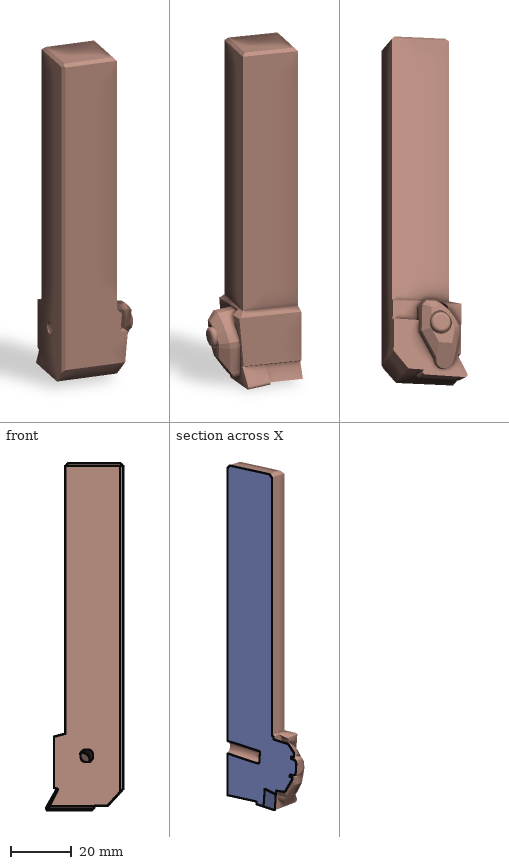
import cadquery as cq
import math


LENGTH = 114.3
SHANK = 19.1
EDGE_CHAMFER = 1.0

HEAD_LEFT = -3.8
HEAD_STEP_Z = 7.5
RELIEF_TOP_X = -2.4
RELIEF_TOP_Z = 7.0
RELIEF_BOTTOM_X = -5.1
HEAD_BOTTOM_Z = 1.6
HEAD_TOP_Z = 25.4
SHOULDER_DROP = 1.0
HEEL_WIDTH = 5.1
HEEL_HEIGHT = 5.6
HEAD_STOCK_DEPTH = 27.4
REAR_TOP_ANGLE = 28.0

SEAT_TILT = 5.0
SEAT_Y = 19.8
SEAT_SLOPE = math.tan(math.radians(SEAT_TILT))
INTO_HEAD = cq.Vector(SEAT_SLOPE, -1, SEAT_SLOPE)
OUT_OF_HEAD = INTO_HEAD * -1

INSERT_SIDE = 16.5
INSERT_CORNER_X = -6.9
NOSE_RADIUS = 0.8
INSERT_THICKNESS = 4.8
SHIM_THICKNESS = 3.2

CLAMP_LEFT = -2.1
CLAMP_RIGHT = 10.9
CLAMP_TOP_Z = 24.1
CLAMP_HEIGHT = 6.4
CLAMP_WALL_HEIGHT = 3.7
CROWN_TAPER = 42.0
TAIL_LEFT = 6.1
TAIL_RIGHT = 9.4
TAIL_CORNER_Z = 22.6
SHOULDER_X = 1.0
SHOULDER_Z = 20.6
SIDE_TOP_Z = 16.0
SIDE_BOTTOM_Z = 14.0
NOSE_X = 2.5
NOSE_Z = 5.1
NOSE_HALF_WIDTH = 3.0
NOSE_HEIGHT = 1.6
SLOPE_TOP_Z = 10.1

RECESS_DEPTH = 2.6
RECESS_LEFT = 1.0
RECESS_BOTTOM_Z = 18.0
RECESS_CORNER_Z = 23.2
RECESS_TOP_X = 5.0
RECESS_TOP_Z = 26.3

SCREW_X = 5.3
SCREW_Z = 16.7
SCREW_HEAD_RADIUS = 3.3
SCREW_HEAD_RISE = 1.3
SCREW_HEAD_FILLET = 1.0
SCREW_GROOVE_RADIUS = 3.9
SCREW_GROOVE_DEPTH = 1.1

HOLE_X = 7.1
HOLE_Z = 18.1
HOLE_DIAMETER = 4.2
HOLE_DEPTH = 13.7


def tilted_plane(x, y, z):
    """Plane parallel to the seat; local X and Y follow X and Z, local Z points into the head."""
    return cq.Plane(origin=(x, y, z), xDir=(1, SEAT_SLOPE, 0), normal=INTO_HEAD)


def seat(depth=0.0):
    """Workplane at the given depth below the seat plane (negative is above it)."""
    return cq.Workplane(tilted_plane(0, SEAT_Y, 0)).workplane(offset=depth)


def insert_prism(depth, thickness):
    """Equilateral triangle with rounded noses, starting at a depth below the seat."""
    apex = (INSERT_CORNER_X + INSERT_SIDE / 2, INSERT_SIDE * math.sqrt(3) / 2)
    outline = [(INSERT_CORNER_X, 0), (INSERT_CORNER_X + INSERT_SIDE, 0), apex]
    prism = seat(depth).polyline(outline).close().extrude(thickness)
    return prism.edges(cq.selectors.ParallelDirSelector(INTO_HEAD)).fillet(NOSE_RADIUS)


def make_shank():
    """Square bar with a chamfered top end."""
    height = LENGTH - HEAD_BOTTOM_Z
    base = cq.Workplane("XY", origin=(0, 0, HEAD_BOTTOM_Z))
    bar = base.rect(SHANK, SHANK, centered=False).extrude(height)
    return bar.faces(">Z").chamfer(EDGE_CHAMFER)


def make_head():
    """Head profile with a sloped rear overhang, trimmed to the tilted seat."""
    outline = [
        (SHANK, HEAD_TOP_Z),
        (0, HEAD_TOP_Z),
        (HEAD_LEFT, HEAD_TOP_Z - SHOULDER_DROP),
        (HEAD_LEFT, HEAD_STEP_Z),
        (RELIEF_TOP_X, RELIEF_TOP_Z),
        (RELIEF_BOTTOM_X, HEAD_BOTTOM_Z),
        (SHANK, HEAD_BOTTOM_Z),
    ]
    head = cq.Workplane("XZ").polyline(outline).close().extrude(-HEAD_STOCK_DEPTH)

    overhang = HEAD_STOCK_DEPTH - SHANK
    drop = overhang * math.tan(math.radians(REAR_TOP_ANGLE))
    wedge = [(SHANK, HEAD_TOP_Z), (HEAD_STOCK_DEPTH, HEAD_TOP_Z), (HEAD_STOCK_DEPTH, HEAD_TOP_Z - drop)]
    head = head.cut(cq.Workplane("YZ").polyline(wedge).close().extrude(SHANK - HEAD_LEFT, both=True))

    return head.cut(seat().rect(LENGTH, LENGTH).extrude(-HEAD_STOCK_DEPTH))


def cut_right_edges(holder):
    """Chamfer the heel and the long front-right edge."""
    heel = [
        (SHANK - HEEL_WIDTH, HEAD_BOTTOM_Z),
        (SHANK, HEAD_BOTTOM_Z),
        (SHANK, HEAD_BOTTOM_Z + HEEL_HEIGHT),
    ]
    edge = [(SHANK - EDGE_CHAMFER, 0), (SHANK, 0), (SHANK, EDGE_CHAMFER)]
    holder = holder.cut(cq.Workplane("XZ").polyline(heel).close().extrude(-HEAD_STOCK_DEPTH))
    return holder.cut(cq.Workplane("XY").polyline(edge).close().extrude(LENGTH))


def recess():
    """Pocket sunk into the upper right of the seat, open to the top and the right."""
    outline = [
        (RECESS_LEFT, RECESS_BOTTOM_Z),
        (SHANK + RECESS_DEPTH, RECESS_BOTTOM_Z),
        (SHANK + RECESS_DEPTH, RECESS_TOP_Z),
        (RECESS_TOP_X, RECESS_TOP_Z),
        (RECESS_LEFT, RECESS_CORNER_Z),
    ]
    return seat().polyline(outline).close().extrude(RECESS_DEPTH)


def clamp_prism(workplane, height, taper=0):
    """Clamp outline: flat tail at the top, rounded left shoulder, tapered nose at the bottom."""
    return (
        workplane.moveTo(TAIL_RIGHT, CLAMP_TOP_Z)
        .lineTo(TAIL_LEFT, CLAMP_TOP_Z)
        .threePointArc((SHOULDER_X, SHOULDER_Z), (CLAMP_LEFT, SIDE_TOP_Z))
        .lineTo(CLAMP_LEFT, SIDE_BOTTOM_Z)
        .lineTo(NOSE_X - NOSE_HALF_WIDTH, NOSE_Z)
        .threePointArc((NOSE_X, NOSE_Z - NOSE_HALF_WIDTH), (NOSE_X + NOSE_HALF_WIDTH, NOSE_Z))
        .lineTo(CLAMP_RIGHT, SIDE_BOTTOM_Z)
        .lineTo(CLAMP_RIGHT, TAIL_CORNER_Z)
        .close()
        .extrude(height, taper=taper)
    )


def make_clamp():
    """Clamp with upright walls, a tapered crown and a top that slopes down to the nose."""
    walls = clamp_prism(seat(), -CLAMP_WALL_HEIGHT)
    crown = clamp_prism(seat(-CLAMP_WALL_HEIGHT), CLAMP_WALL_HEIGHT - CLAMP_HEIGHT, CROWN_TAPER)
    clamp = walls.union(crown)

    nose_end_z = NOSE_Z - NOSE_HALF_WIDTH
    side = cq.Plane(origin=(0, SEAT_Y, 0), xDir=OUT_OF_HEAD, normal=(1, SEAT_SLOPE, 0))
    wedge = [
        (CLAMP_HEIGHT, SLOPE_TOP_Z),
        (NOSE_HEIGHT, nose_end_z),
        (CLAMP_HEIGHT, nose_end_z),
    ]
    clamp = clamp.cut(cq.Workplane(side).polyline(wedge).close().extrude(SHANK, both=True))

    return clamp.union(clamp_prism(seat(), RECESS_DEPTH).intersect(recess()))


def add_screw(clamp):
    """Cut a clearance groove into the clamp top and stand the rounded screw head in it."""
    top = seat(-CLAMP_HEIGHT).center(SCREW_X, SCREW_Z)
    groove = top.circle(SCREW_GROOVE_RADIUS).extrude(SCREW_GROOVE_DEPTH)
    floor = seat(SCREW_GROOVE_DEPTH - CLAMP_HEIGHT).center(SCREW_X, SCREW_Z)
    head = floor.circle(SCREW_HEAD_RADIUS).extrude(-SCREW_GROOVE_DEPTH - SCREW_HEAD_RISE)
    rim = head.faces(cq.selectors.DirectionMinMaxSelector(OUT_OF_HEAD)).edges()
    return clamp.cut(groove).union(rim.fillet(SCREW_HEAD_FILLET))


def front_hole():
    """Blind hole, started one radius outside so that it breaks cleanly through the front face."""
    radius = HOLE_DIAMETER / 2
    start = cq.Workplane(tilted_plane(HOLE_X, 0, HOLE_Z)).workplane(offset=radius)
    return start.circle(radius).extrude(-HOLE_DEPTH - radius)


def make_holder():
    """Shank, head, shim, clamp and screw as one solid."""
    holder = cut_right_edges(make_shank().union(make_head()))
    holder = holder.cut(recess())
    holder = holder.cut(insert_prism(0, INSERT_THICKNESS))
    holder = holder.union(insert_prism(INSERT_THICKNESS, SHIM_THICKNESS))
    holder = holder.union(add_screw(make_clamp()))
    return holder.cut(front_hole())


holder = make_holder()
insert = insert_prism(0, INSERT_THICKNESS)

result = cq.Compound.makeCompound([holder.val(), insert.val()])